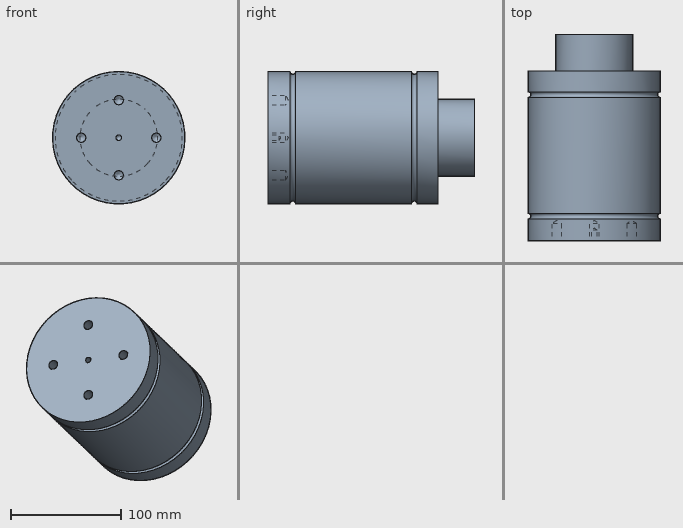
import cadquery as cq
import math

body_diameter = 120.0
body_length = 154.0
rod_diameter = 70.0
rod_length = 33.0

groove_radius = 2.5
front_groove_y = 22.5
rear_groove_setback = 21.5
rear_groove_y = body_length - rear_groove_setback

mounting_hole_diameter = 8.38
mounting_hole_count = 4
mounting_circle_radius = 34.0
mounting_hole_depth = 16.0
centre_hole_diameter = 5.0
centre_hole_depth = 10.0
drill_point_angle = 118.0


def cylinder_along_y(diameter, start_y, length):
    """Solid cylinder on the Y axis, growing toward +Y from start_y."""
    return cq.Workplane(cq.Solid.makeCylinder(
        diameter / 2, length, cq.Vector(0, start_y, 0), cq.Vector(0, 1, 0)))


def groove_cutter(centre_y):
    """Ring of round section, centred on the body surface."""
    return cq.Workplane(cq.Solid.makeTorus(
        body_diameter / 2, groove_radius, cq.Vector(0, centre_y, 0), cq.Vector(0, 1, 0)))


def drilled_hole_cutter(diameter, depth, x, z):
    """Straight bore from the Y = 0 face, ending in a conical drill point."""
    radius = diameter / 2
    point_length = radius / math.tan(math.radians(drill_point_angle / 2))
    return (
        cq.Workplane("XY")
        .lineTo(radius, 0)
        .lineTo(radius, depth)
        .lineTo(0, depth + point_length)
        .close()
        .revolve(360, (0, 0), (0, 1))
        .translate((x, 0, z))
    )


result = cylinder_along_y(body_diameter, 0, body_length)
result = result.union(cylinder_along_y(rod_diameter, body_length, rod_length))

for groove_y in (front_groove_y, rear_groove_y):
    result = result.cut(groove_cutter(groove_y))

result = result.cut(drilled_hole_cutter(centre_hole_diameter, centre_hole_depth, 0, 0))
for index in range(mounting_hole_count):
    angle = 2 * math.pi * index / mounting_hole_count
    hole_x = mounting_circle_radius * math.cos(angle)
    hole_z = mounting_circle_radius * math.sin(angle)
    result = result.cut(
        drilled_hole_cutter(mounting_hole_diameter, mounting_hole_depth, hole_x, hole_z))